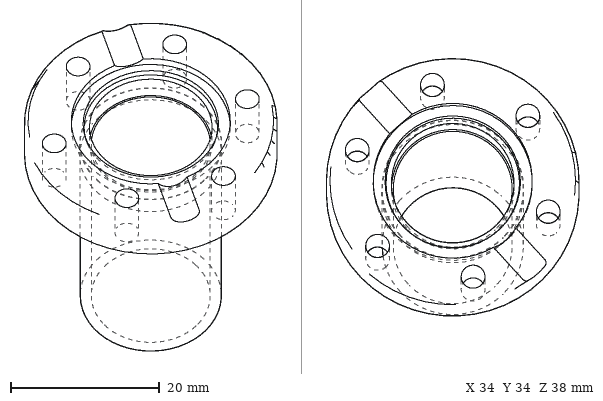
import cadquery as cq

TOTAL_HEIGHT = 38.0

FLANGE_DIAMETER = 34.0
FLANGE_THICKNESS = 7.5
TOP_EDGE_RADIUS = 0.5
BOTTOM_EDGE_RADIUS = 0.38
FLANGE_BORE_DIAMETER = 16.5

RECESS_DIAMETER = 21.4
RECESS_DEPTH = 1.25
KNIFE_DIAMETER = 18.2
KNIFE_DEPTH = 0.57
SEAT_DIAMETER = 17.95
SEAT_DEPTH = 1.33

BOLT_COUNT = 6
BOLT_HOLE_DIAMETER = 3.2
BOLT_CIRCLE_DIAMETER = 27.05
FIRST_BOLT_ANGLE = 90.0

GROOVE_WIDTH = 4.03
GROOVE_DEPTH = 1.0

TUBE_DIAMETER = 19.0
TUBE_BORE_DIAMETER = 16.0
SOCKET_DIAMETER = 19.1
SHOULDER_DEPTH = 4.9

TOP_Z = TOTAL_HEIGHT
FLANGE_BOTTOM_Z = TOP_Z - FLANGE_THICKNESS
SHOULDER_Z = TOP_Z - SHOULDER_DEPTH


def cylinder(diameter, bottom, top):
    """Upright cylinder on the part axis between two levels."""
    return cq.Workplane("XY").workplane(offset=bottom).circle(diameter / 2).extrude(top - bottom)


def flange_blank():
    """Disc with rounded rims."""
    disc = cylinder(FLANGE_DIAMETER, FLANGE_BOTTOM_Z, TOP_Z)
    return disc.edges(">Z").fillet(TOP_EDGE_RADIUS).edges("<Z").fillet(BOTTOM_EDGE_RADIUS)


def gasket_recess():
    """Revolved cavity whose floor rises inward to the knife edge, then drops to the seat."""
    return (
        cq.Workplane("XZ")
        .moveTo(0, TOP_Z)
        .lineTo(RECESS_DIAMETER / 2, TOP_Z)
        .lineTo(RECESS_DIAMETER / 2, TOP_Z - RECESS_DEPTH)
        .lineTo(KNIFE_DIAMETER / 2, TOP_Z - KNIFE_DEPTH)
        .lineTo(SEAT_DIAMETER / 2, TOP_Z - SEAT_DEPTH)
        .lineTo(0, TOP_Z - SEAT_DEPTH)
        .close()
        .revolve(360, (0, 0, 0), (0, 1, 0))
    )


def bolt_holes():
    """Through holes spaced evenly on the bolt circle."""
    return (
        cq.Workplane("XY")
        .workplane(offset=FLANGE_BOTTOM_Z)
        .polarArray(BOLT_CIRCLE_DIAMETER / 2, FIRST_BOLT_ANGLE, 360, BOLT_COUNT)
        .circle(BOLT_HOLE_DIAMETER / 2)
        .extrude(FLANGE_THICKNESS)
    )


def leak_groove():
    """Cylinder along X that cuts the groove across the whole top face."""
    radius = ((GROOVE_WIDTH / 2) ** 2 + GROOVE_DEPTH**2) / (2 * GROOVE_DEPTH)
    axis_z = TOP_Z - GROOVE_DEPTH + radius
    return cq.Workplane("YZ").center(0, axis_z).circle(radius).extrude(FLANGE_DIAMETER / 2, both=True)


def outer_groove():
    """Groove cutter kept outside the gasket recess, so the knife edge stays whole."""
    return leak_groove().cut(cylinder(RECESS_DIAMETER, FLANGE_BOTTOM_Z, TOP_Z))


def make_flange():
    """Flange with gasket recess, bore, tube socket, bolt holes and leak-check groove."""
    return (
        flange_blank()
        .cut(gasket_recess())
        .cut(cylinder(FLANGE_BORE_DIAMETER, FLANGE_BOTTOM_Z, TOP_Z))
        .cut(cylinder(SOCKET_DIAMETER, FLANGE_BOTTOM_Z, SHOULDER_Z))
        .cut(bolt_holes())
        .cut(outer_groove())
    )


def make_tube():
    """Plain tube whose top end rests on the socket shoulder."""
    return cylinder(TUBE_DIAMETER, 0, SHOULDER_Z).cut(cylinder(TUBE_BORE_DIAMETER, 0, SHOULDER_Z))


flange = make_flange()
tube = make_tube()

result = cq.Compound.makeCompound([flange.val(), tube.val()])